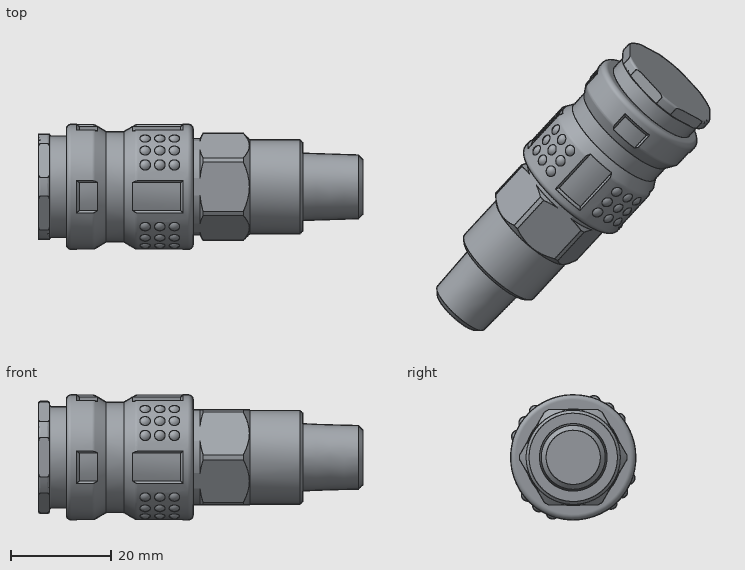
import cadquery as cq
import math

length = 64.8

plug_flats = 21.0
plug_corner_diameter = 22.4
plug_fillet = 0.45
plug_width = 2.3
plug_root_fillet = 0.3
neck_diameter = 20.3

shank_diameter = 19.3
hex_flats = 19.0
hex_corner_diameter = 21.4
hex_start = 32.25
hex_front_bevel_angle = 30.0
barrel_diameter = 18.8
barrel_start = 42.2
barrel_end = 52.75
barrel_chamfer = 0.6
tail_root_diameter = 13.5
tail_tip_diameter = 12.75
tail_chamfer = 1.0

sleeve_start = 5.6
sleeve_end = 30.9
sleeve_diameter = 25.0
sleeve_radius = sleeve_diameter / 2
sleeve_end_fillet = 1.05
waist_diameter = 22.0
front_shoulder = 11.1
waist_start = 13.55
waist_end = 17.05
rear_shoulder = 19.55
shoulder_fillet = 0.9

grip_count = 4
grip_pitch = 360.0 / grip_count
first_pocket_angle = 9.5
pocket_start = 7.65
pocket_end = 28.9
pocket_half_angle = 15.1
pocket_depth = 0.45
pocket_wall_slope = 50.0
bump_radius = 1.3
bump_height = 0.55
bump_angle_pitch = 15.0
bump_middle_x = 24.2
bump_x_pitch = 2.9


def turned(outline):
    """Solid of revolution about X from (x, radius) points."""
    return cq.Workplane("XY").polyline(outline).close().revolve(360, (0, 0, 0), (1, 0, 0))


def cylinder(start, end, diameter):
    return cq.Workplane("YZ", origin=(start, 0, 0)).circle(diameter / 2).extrude(end - start)


def about_x(shape, angle):
    return shape.rotate((0, 0, 0), (1, 0, 0), angle)


def hexagon(start, end, across_flats, turn):
    """Hexagonal prism along X; with turn 0 two corners lie on the Y axis."""
    across_corners = across_flats / math.cos(math.radians(30))
    prism = cq.Workplane("YZ", origin=(start, 0, 0)).polygon(6, across_corners).extrude(end - start)
    return about_x(prism, turn)


def circle_edges_at(x, radius):
    """Selector for the circular edges at x, up to the given radius."""
    margin = 0.05
    reach = radius + margin
    return cq.selectors.BoxSelector(
        (x - margin, -reach, -reach), (x + margin, reach, reach), boundingbox=True
    )


def make_plug():
    """Hexagonal flange with flats on +Y and -Y and rounded corners, and the neck behind it."""
    disc = cylinder(0, plug_width, plug_corner_diameter).edges().fillet(plug_fillet)
    neck = cylinder(plug_width, sleeve_start, neck_diameter)
    root = circle_edges_at(plug_width, neck_diameter / 2)
    blank = disc.union(neck).edges(root).fillet(plug_root_fillet)
    return blank.intersect(hexagon(0, sleeve_start, plug_flats, 30))


def make_wrench_section():
    """Wrench hexagon with flats on +Z and -Z; the flats carry on along the shank to the sleeve."""
    corner_radius = hex_corner_diameter / 2
    shank_radius = shank_diameter / 2
    barrel_radius = barrel_diameter / 2
    front_bevel = (corner_radius - shank_radius) * math.tan(math.radians(hex_front_bevel_angle))
    rear_bevel = corner_radius - barrel_radius
    blank = turned([
        (sleeve_end, 0),
        (sleeve_end, shank_radius),
        (hex_start, shank_radius),
        (hex_start + front_bevel, corner_radius),
        (barrel_start - rear_bevel, corner_radius),
        (barrel_start, barrel_radius),
        (barrel_start, 0),
    ])
    return blank.intersect(hexagon(sleeve_end, barrel_start, hex_flats, 0))


def make_tail():
    """Tapered pipe end with a chamfered tip."""
    tip_radius = tail_tip_diameter / 2
    return turned([
        (barrel_end, 0),
        (barrel_end, tail_root_diameter / 2),
        (length - tail_chamfer, tip_radius),
        (length, tip_radius - tail_chamfer),
        (length, 0),
    ])


def make_core():
    barrel = cylinder(barrel_start, barrel_end, barrel_diameter).faces(">X").chamfer(barrel_chamfer)
    return (
        make_plug()
        .union(cylinder(sleeve_start, sleeve_end, shank_diameter))
        .union(make_wrench_section())
        .union(barrel)
        .union(make_tail())
    )


def make_sleeve_blank():
    bore_radius = shank_diameter / 2
    waist_radius = waist_diameter / 2
    blank = turned([
        (sleeve_start, bore_radius),
        (sleeve_start, sleeve_radius),
        (front_shoulder, sleeve_radius),
        (waist_start, waist_radius),
        (waist_end, waist_radius),
        (rear_shoulder, sleeve_radius),
        (sleeve_end, sleeve_radius),
        (sleeve_end, bore_radius),
    ])
    for shoulder in (front_shoulder, rear_shoulder):
        blank = blank.edges(circle_edges_at(shoulder, sleeve_radius)).fillet(shoulder_fillet)
    for face in ("<X", ">X"):
        rim = blank.faces(face).edges(cq.selectors.RadiusNthSelector(-1))
        blank = rim.fillet(sleeve_end_fillet)
    return blank


def make_pocket_cutter():
    """Ring sector on +Z with a round floor and four sloping walls.

    It spans the waist, so it opens a pocket in the front band and another in the rear band.
    """
    lean = math.tan(math.radians(pocket_wall_slope))
    floor_radius = sleeve_radius - pocket_depth
    top_radius = sleeve_radius + pocket_depth
    end_offset = pocket_depth * lean
    ring = turned([
        (pocket_start + end_offset, floor_radius),
        (pocket_start - end_offset, top_radius),
        (pocket_end + end_offset, top_radius),
        (pocket_end - end_offset, floor_radius),
    ])

    half_angle = math.radians(pocket_half_angle)
    rim_height = sleeve_radius * math.cos(half_angle)
    rim_half_width = sleeve_radius * math.sin(half_angle)
    base_height = rim_height - 2 * pocket_depth
    base_half_width = rim_half_width - (rim_height - base_height) * lean
    top_half_width = rim_half_width + (top_radius - rim_height) * lean
    sides = cq.Workplane("YZ").polyline([
        (-base_half_width, base_height),
        (base_half_width, base_height),
        (top_half_width, top_radius),
        (-top_half_width, top_radius),
    ]).close().extrude(length)
    return ring.intersect(sides)


def make_bumps():
    """Three by three domes centred on +Z."""
    centre_radius = sleeve_radius + bump_height - bump_radius
    domes = []
    for column in (-1, 0, 1):
        x = bump_middle_x + column * bump_x_pitch
        ball = cq.Workplane("YZ", origin=(x, 0, centre_radius)).sphere(bump_radius)
        for row in (-1, 0, 1):
            domes.append(about_x(ball, row * bump_angle_pitch))
    return domes


def make_sleeve():
    sleeve = make_sleeve_blank()
    cutter = make_pocket_cutter()
    domes = make_bumps()
    for index in range(grip_count):
        pocket_angle = first_pocket_angle + index * grip_pitch
        bump_angle = pocket_angle + grip_pitch / 2
        sleeve = sleeve.cut(about_x(cutter, pocket_angle))
        for dome in domes:
            sleeve = sleeve.union(about_x(dome, bump_angle))
    return sleeve.cut(cylinder(0, length, shank_diameter))


core = make_core()
sleeve = make_sleeve()
result = cq.Compound.makeCompound([core.val(), sleeve.val()])